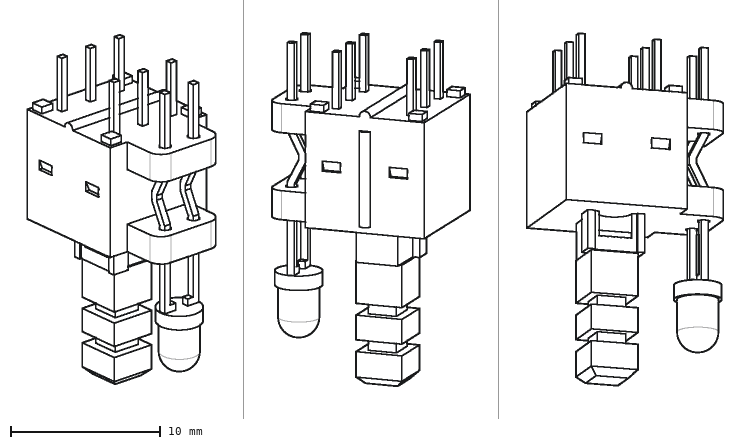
import cadquery as cq


CASE_WIDTH = 8.5
CASE_HEIGHT = 8.0
CASE_HALF = CASE_WIDTH / 2
SEAM_Z = 4.0

WINDOW_INNER_X = 1.75
WINDOW_OUTER_X = 3.05
WINDOW_HEIGHT = 0.7
WINDOW_DEPTH = 0.3

RIDGE_DIAMETER = 0.8
RIB_PROTRUSION = 0.3
RIB_TOP_GAP = 0.97
RIB_BOTTOM_GAP = 0.45

FOOT_SIZE = 0.95
FOOT_HEIGHT = 0.48
FOOT_INSET = 0.25

PIN_THICKNESS = 0.45
PIN_WIDTH = 0.5
PIN_HEIGHT = 3.9
PIN_PITCH = 2.51
PIN_ROW_X = 2.67
PIN_TOP_Z = CASE_HEIGHT + PIN_HEIGHT

LUG_LENGTH = 3.3
LUG_WIDTH = 5.5
LUG_THICKNESS = 2.0
LUG_CORNER_RADIUS = 1.0
LEAD_HOLE_DIAMETER = 0.8

COLLAR_WIDTH = 4.0
COLLAR_HEIGHT = 2.65
COLLAR_CORE_WIDTH = 3.0
CHEEK_DEPTH = 1.27
CHEEK_OVERHANG = 0.15
RECESS_WIDTH = 2.3
RECESS_HEIGHT = 1.68
HOLLOW_HEIGHT = 1.27

SHAFT_WIDTH = 3.3
NECK_WIDTH = 2.0
NECK_HEIGHT = 0.8
UPPER_NECK_TOP_Z = -5.58
LOWER_NECK_TOP_Z = -8.1
PLUNGER_TIP_Z = -11.15
TIP_CHAMFER = 0.5

LED_X = 6.38
LED_DIAMETER = 2.8
LED_FLANGE_DIAMETER = 3.2
LED_FLANGE_THICKNESS = 1.0
LED_TOP_Z = -4.1
LED_DOME_Z = -7.3
LEAD_WIDTH = 0.5
LEAD_KINK_OFFSET = 0.83
LEAD_KINK_Z = 4.08
LEAD_KINK_FLAT = 0.45
LEAD_KINK_HEIGHT = 3.69
LEAD_FOOT_WIDTH = 1.0
LEAD_FOOT_HEIGHT = 0.5
LEAD_YS = (-PIN_PITCH / 2, PIN_PITCH / 2)


def block(x_size, y_size, bottom_z, top_z, x=0.0, y=0.0):
    """Upright box centred on (x, y) between two heights."""
    return (
        cq.Workplane("XY", origin=(x, y, bottom_z))
        .rect(x_size, y_size)
        .extrude(top_z - bottom_z)
    )


def cylinder(diameter, bottom_z, top_z, x=0.0, y=0.0):
    """Upright cylinder centred on (x, y) between two heights."""
    return (
        cq.Workplane("XY", origin=(x, y, bottom_z))
        .circle(diameter / 2)
        .extrude(top_z - bottom_z)
    )


def make_window(left_x):
    """Front wedge-shaped latch pocket with a flat floor and a sloping back."""
    return (
        cq.Workplane("YZ", origin=(left_x, 0, 0))
        .moveTo(-CASE_HALF, SEAM_Z)
        .lineTo(-CASE_HALF + WINDOW_DEPTH, SEAM_Z)
        .lineTo(-CASE_HALF, SEAM_Z + WINDOW_HEIGHT)
        .close()
        .extrude(WINDOW_OUTER_X - WINDOW_INNER_X)
    )


def make_case():
    case = block(CASE_WIDTH, CASE_WIDTH, 0, CASE_HEIGHT)

    for left_x in (-WINDOW_OUTER_X, WINDOW_INNER_X):
        window = make_window(left_x)
        case = case.cut(window).cut(window.mirror("XZ"))

    ridge = (
        cq.Workplane("XZ", origin=(0, CASE_HALF, CASE_HEIGHT))
        .circle(RIDGE_DIAMETER / 2)
        .extrude(CASE_WIDTH)
    )

    rib = cylinder(
        RIDGE_DIAMETER,
        RIB_BOTTOM_GAP,
        CASE_HEIGHT - RIB_TOP_GAP,
        y=CASE_HALF + RIB_PROTRUSION - RIDGE_DIAMETER / 2,
    )
    return case.union(ridge).union(rib)


def make_feet():
    spacing = CASE_WIDTH - 2 * FOOT_INSET - FOOT_SIZE
    return (
        cq.Workplane("XY", origin=(0, 0, CASE_HEIGHT))
        .rarray(spacing, spacing, 2, 2)
        .rect(FOOT_SIZE, FOOT_SIZE)
        .extrude(FOOT_HEIGHT)
    )


def make_terminals():
    return (
        cq.Workplane("XY", origin=(0, 0, CASE_HEIGHT))
        .rarray(2 * PIN_ROW_X, PIN_PITCH, 2, 3)
        .rect(PIN_THICKNESS, PIN_WIDTH)
        .extrude(PIN_HEIGHT)
    )


def make_lug(bottom_z):
    """Bracket lug with rounded outer corners and two clearance holes for the LED leads."""
    top_z = bottom_z + LUG_THICKNESS
    lug = block(LUG_LENGTH, LUG_WIDTH, bottom_z, top_z, x=CASE_HALF + LUG_LENGTH / 2)
    lug = lug.edges("|Z and >X").fillet(LUG_CORNER_RADIUS)
    for y in LEAD_YS:
        lug = lug.cut(cylinder(LEAD_HOLE_DIAMETER, bottom_z, top_z, LED_X, y))
    return lug


def make_collar():
    """Rectangular core with a recess in its front, flanked by two cheeks along the front edge."""
    half_width = COLLAR_WIDTH / 2
    core_front_y = CHEEK_OVERHANG - half_width
    core_depth = half_width - core_front_y
    core_y = (half_width + core_front_y) / 2
    collar = block(COLLAR_CORE_WIDTH, core_depth, -COLLAR_HEIGHT, 0, y=core_y)

    recess_back_y = -SHAFT_WIDTH / 2
    recess_depth = recess_back_y - core_front_y
    recess_y = (recess_back_y + core_front_y) / 2
    collar = collar.cut(block(RECESS_WIDTH, recess_depth, -RECESS_HEIGHT, 0, y=recess_y))

    collar = collar.cut(cylinder(RECESS_WIDTH, -HOLLOW_HEIGHT, 0, y=recess_back_y))

    cheek_width = (COLLAR_WIDTH - COLLAR_CORE_WIDTH) / 2
    cheek_x = (COLLAR_WIDTH - cheek_width) / 2
    cheek_y = CHEEK_DEPTH / 2 - half_width
    for x in (-cheek_x, cheek_x):
        collar = collar.union(block(cheek_width, CHEEK_DEPTH, -COLLAR_HEIGHT, 0, x, cheek_y))
    return collar


def make_plunger():
    """Square shaft with two square necks and a chamfered tip."""
    plunger = block(SHAFT_WIDTH, SHAFT_WIDTH, PLUNGER_TIP_Z, -COLLAR_HEIGHT)
    plunger = plunger.faces("<Z").chamfer(TIP_CHAMFER)
    for neck_top in (UPPER_NECK_TOP_Z, LOWER_NECK_TOP_Z):
        neck_bottom = neck_top - NECK_HEIGHT
        groove = block(SHAFT_WIDTH, SHAFT_WIDTH, neck_bottom, neck_top).cut(
            block(NECK_WIDTH, NECK_WIDTH, neck_bottom, neck_top)
        )
        plunger = plunger.cut(groove)
    return plunger


def make_switch():
    switch = make_case().union(make_feet()).union(make_terminals())
    for lug_bottom in (0, CASE_HEIGHT - LUG_THICKNESS):
        switch = switch.union(make_lug(lug_bottom))
    return switch.union(make_collar()).union(make_plunger())


def make_lead(y):
    """Square wire with a kink toward the case between the two lugs."""
    kink_x = LED_X - LEAD_KINK_OFFSET
    path = (
        cq.Workplane("XZ", origin=(0, y, 0))
        .moveTo(LED_X, LED_TOP_Z)
        .lineTo(LED_X, LEAD_KINK_Z - LEAD_KINK_HEIGHT / 2)
        .lineTo(kink_x, LEAD_KINK_Z - LEAD_KINK_FLAT / 2)
        .lineTo(kink_x, LEAD_KINK_Z + LEAD_KINK_FLAT / 2)
        .lineTo(LED_X, LEAD_KINK_Z + LEAD_KINK_HEIGHT / 2)
        .lineTo(LED_X, PIN_TOP_Z)
    )
    section = cq.Workplane("XY", origin=(LED_X, y, LED_TOP_Z)).rect(LEAD_WIDTH, LEAD_WIDTH)
    return section.sweep(path, transition="right")


def make_lead_foot(side):
    """Widened root of a lead, flush with its outer face and reaching inward; side is -1 or 1."""
    outer_y = PIN_PITCH / 2 + LEAD_WIDTH / 2
    y = side * (outer_y - LEAD_FOOT_WIDTH / 2)
    return block(LEAD_WIDTH, LEAD_FOOT_WIDTH, LED_TOP_Z, LED_TOP_Z + LEAD_FOOT_HEIGHT, LED_X, y)


def make_led():
    """Flanged round LED with a domed lower end and two leads with widened roots."""
    led = cylinder(LED_DIAMETER, LED_DOME_Z, LED_TOP_Z, LED_X)
    led = led.union(cylinder(LED_FLANGE_DIAMETER, LED_TOP_Z - LED_FLANGE_THICKNESS, LED_TOP_Z, LED_X))
    led = led.union(cq.Workplane("XY", origin=(LED_X, 0, LED_DOME_Z)).sphere(LED_DIAMETER / 2))
    for y in LEAD_YS:
        led = led.union(make_lead(y))
    for side in (-1, 1):
        led = led.union(make_lead_foot(side))
    return led


switch = make_switch()
led = make_led()

result = cq.Compound.makeCompound([switch.solids().val(), led.solids().val()])